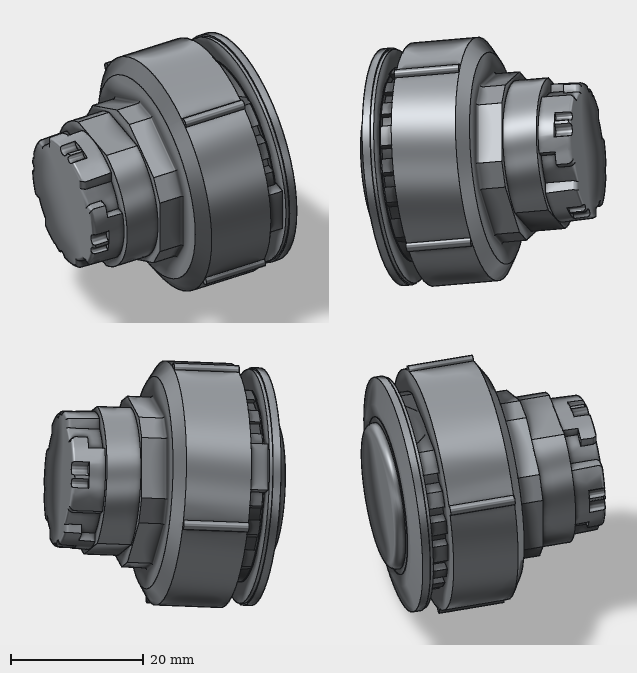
import cadquery as cq
import math


NOSE_LOCK_Y = 2.6
NOSE_END_Y = 5.07
BARREL_END_Y = 10.32
COLLAR_FRONT_Y = 14.3
COLLAR_BEVEL_Y = 15.85
COLLAR_BACK_Y = 25.9
TEETH_END_Y = 28.7
FLANGE_FRONT_Y = 28.85
FLANGE_STEP_Y = 29.38
FLANGE_RIM_Y = 30.6
FLANGE_BACK_Y = 31.45
SEAT_BACK_Y = 31.52
TOTAL_LENGTH = 33.0

COLLAR_R = 18.5
COLLAR_FRONT_R = 16.1
NECK_FRONT_R = 13.73
NECK_BACK_R = 29.0 / 2
FLANGE_LIP_R = 35.5 / 2
FLANGE_R = 36.0 / 2
FLANGE_BACK_R = 14.02
SEAT_R = 24.25 / 2
CAP_R = 22.45 / 2
CAP_FILLET = 1.22

NOSE_R = 10.47
NOSE_TIP_R = 10.3
NOSE_TIP_FILLET = 0.55
NOTCH_ROOT_R = 9.2
LUG_MIN_X = -4.92
LUG_MAX_X = 6.3
LOCK_WALL_X = -3.15
LUG_FILLET = 0.8
SCALLOPS = [(0.15, 10.45, 1.05), (2.4, 10.1, 0.7)]
LAND_Z = 10.18

BARREL_R = 23.0 / 2
BARREL_FLATS = 21.05
NUT_FLATS_X = 24.12
NUT_FLATS_Z = 25.53
NUT_FILLET = 0.48

RIB_R = 0.75
RIB_START_ANGLE = 60

TOOTH_R = 15.1
TOOTH_CHAMFER_R = 0.1
TOOTH_CHAMFER_Y = 0.22
TOOTH_ROW = 2.0
MIDDLE_TOOTH = 3.1
TOOTH_ROWS_PER_SIDE = 3
NECK_ROOT_R = MIDDLE_TOOTH / 2 + 2 * TOOTH_ROWS_PER_SIDE * TOOTH_ROW

KEY_REACH = 16.7
KEY_WIDTH = MIDDLE_TOOTH + 2 * TOOTH_ROW

QUARTER_TURNS = [0, 90, 180, 270]


def plane_at(y):
    """Sketch plane across the axis; its normal points to -Y."""
    return cq.Workplane("XZ", origin=(0, y, 0))


def turned(points):
    """Solid of revolution about Y from (radius, y) points."""
    return cq.Workplane("XY").polyline(points).close().revolve(360, (0, 0, 0), (0, 1, 0))


def about_axis(solid, angle):
    return solid.rotate((0, 0, 0), (0, 1, 0), angle)


def slab(x_min, x_max, y_min, y_max, z_min, z_max):
    size = (x_max - x_min, y_max - y_min, z_max - z_min)
    return cq.Workplane("XY").box(*size, centered=False).translate((x_min, y_min, z_min))


def make_turned_body():
    """Collar, neck core, flange and the seat of the cap."""
    return turned([
        (0, COLLAR_FRONT_Y),
        (COLLAR_FRONT_R, COLLAR_FRONT_Y),
        (COLLAR_R, COLLAR_BEVEL_Y),
        (COLLAR_R, COLLAR_BACK_Y),
        (NECK_ROOT_R, COLLAR_BACK_Y),
        (NECK_ROOT_R, TEETH_END_Y),
        (NECK_BACK_R, TEETH_END_Y),
        (NECK_BACK_R, FLANGE_FRONT_Y),
        (FLANGE_LIP_R, FLANGE_FRONT_Y),
        (FLANGE_LIP_R, FLANGE_STEP_Y),
        (FLANGE_R, FLANGE_STEP_Y),
        (FLANGE_R, FLANGE_RIM_Y),
        (FLANGE_BACK_R, FLANGE_BACK_Y),
        (SEAT_R, FLANGE_BACK_Y),
        (SEAT_R, SEAT_BACK_Y),
        (0, SEAT_BACK_Y),
    ])


def make_cap():
    cap = plane_at(SEAT_BACK_Y).circle(CAP_R).extrude(SEAT_BACK_Y - TOTAL_LENGTH)
    return cap.faces(">Y").edges().fillet(CAP_FILLET)


def make_hexagon(flats, turn):
    corner_diameter = flats / math.cos(math.pi / 6)
    sketch = plane_at(BARREL_END_Y).polygon(6, corner_diameter)
    return about_axis(sketch.extrude(BARREL_END_Y - COLLAR_FRONT_Y), turn)


def make_nut():
    """Twelve-sided nut: the overlap of two hexagons of different width."""
    return make_hexagon(NUT_FLATS_X, 30).intersect(make_hexagon(NUT_FLATS_Z, 0))


def make_barrel():
    length = BARREL_END_Y - NOSE_END_Y
    barrel = plane_at(NOSE_END_Y).circle(BARREL_R).extrude(-length)
    half = BARREL_FLATS / 2
    return barrel.intersect(slab(-BARREL_R, BARREL_R, NOSE_END_Y, BARREL_END_Y, -half, half))


def make_nose_lug():
    """Lug on the +Z side, between two notches; narrower behind its bayonet step."""
    lug = slab(LUG_MIN_X, LUG_MAX_X, 0, NOSE_END_Y, 0, NOSE_R)
    lug = lug.faces("<Y").edges("|Z").fillet(LUG_FILLET)
    return lug.cut(slab(LUG_MIN_X, LOCK_WALL_X, NOSE_LOCK_Y, NOSE_END_Y, 0, NOSE_R))


def make_scallops():
    """Pair of round scallops in the +Z lug, joined by a shallow strip."""
    first_x, last_x = SCALLOPS[0][0], SCALLOPS[-1][0]
    cutter = slab(first_x, last_x, 0, NOSE_LOCK_Y, LAND_Z, NOSE_R)
    for x, z, radius in SCALLOPS:
        cutter = cutter.union(plane_at(0).center(x, z).circle(radius).extrude(-NOSE_LOCK_Y))
    return cutter


def make_nose():
    """Round core with four lugs, trimmed to a slightly tapered outside, then scalloped."""
    nose = plane_at(0).circle(NOTCH_ROOT_R).extrude(-NOSE_END_Y)
    nose = nose.faces("<Y").edges().fillet(NOSE_TIP_FILLET)
    lug = make_nose_lug()
    for angle in QUARTER_TURNS:
        nose = nose.union(about_axis(lug, angle))
    outside = turned([(0, 0), (NOSE_TIP_R, 0), (NOSE_R, NOSE_END_Y), (0, NOSE_END_Y)])
    nose = nose.intersect(outside.faces("<Y").edges().fillet(NOSE_TIP_FILLET))
    scallops = make_scallops()
    for angle in QUARTER_TURNS:
        nose = nose.cut(about_axis(scallops, angle))
    return nose


def make_rib(angle):
    x = COLLAR_R * math.cos(math.radians(angle))
    z = COLLAR_R * math.sin(math.radians(angle))
    return plane_at(COLLAR_BEVEL_Y).center(x, z).circle(RIB_R).extrude(COLLAR_BEVEL_Y - COLLAR_BACK_Y)


def make_teeth():
    ring = turned([
        (0, COLLAR_BACK_Y),
        (TOOTH_R, COLLAR_BACK_Y),
        (TOOTH_R, TEETH_END_Y - TOOTH_CHAMFER_Y),
        (TOOTH_R - TOOTH_CHAMFER_R, TEETH_END_Y),
        (0, TEETH_END_Y),
    ])

    def row(z_min, z_max):
        return slab(-TOOTH_R, TOOTH_R, COLLAR_BACK_Y, TEETH_END_Y, z_min, z_max)

    half = MIDDLE_TOOTH / 2
    rows = row(-half, half)
    for index in range(TOOTH_ROWS_PER_SIDE):
        z_min = half + TOOTH_ROW * (2 * index + 1)
        z_max = z_min + TOOTH_ROW
        rows = rows.union(row(z_min, z_max)).union(row(-z_max, -z_min))
    return ring.intersect(rows)


def make_neck_crowns():
    """Conical crowns that rise beyond the outermost teeth on the +Z and -Z sides."""
    cone = turned([
        (0, COLLAR_BACK_Y),
        (NECK_FRONT_R, COLLAR_BACK_Y),
        (NECK_BACK_R, FLANGE_FRONT_Y),
        (0, FLANGE_FRONT_Y),
    ])
    return cone.cut(slab(-COLLAR_R, COLLAR_R, COLLAR_BACK_Y, FLANGE_FRONT_Y, -NECK_ROOT_R, NECK_ROOT_R))


def make_key():
    """Locating key on the +X side of the neck."""
    half = KEY_WIDTH / 2
    return slab(0, KEY_REACH, COLLAR_BACK_Y, FLANGE_FRONT_Y, -half, half)


result = make_turned_body().union(make_nut())
nut_root = result.edges("%LINE").edges("#Y").edges(">Y")
result = nut_root.fillet(NUT_FILLET)
for quarter_turn in QUARTER_TURNS:
    result = result.union(make_rib(RIB_START_ANGLE + quarter_turn))
for feature in (make_cap(), make_barrel(), make_nose(), make_teeth(), make_neck_crowns(), make_key()):
    result = result.union(feature)